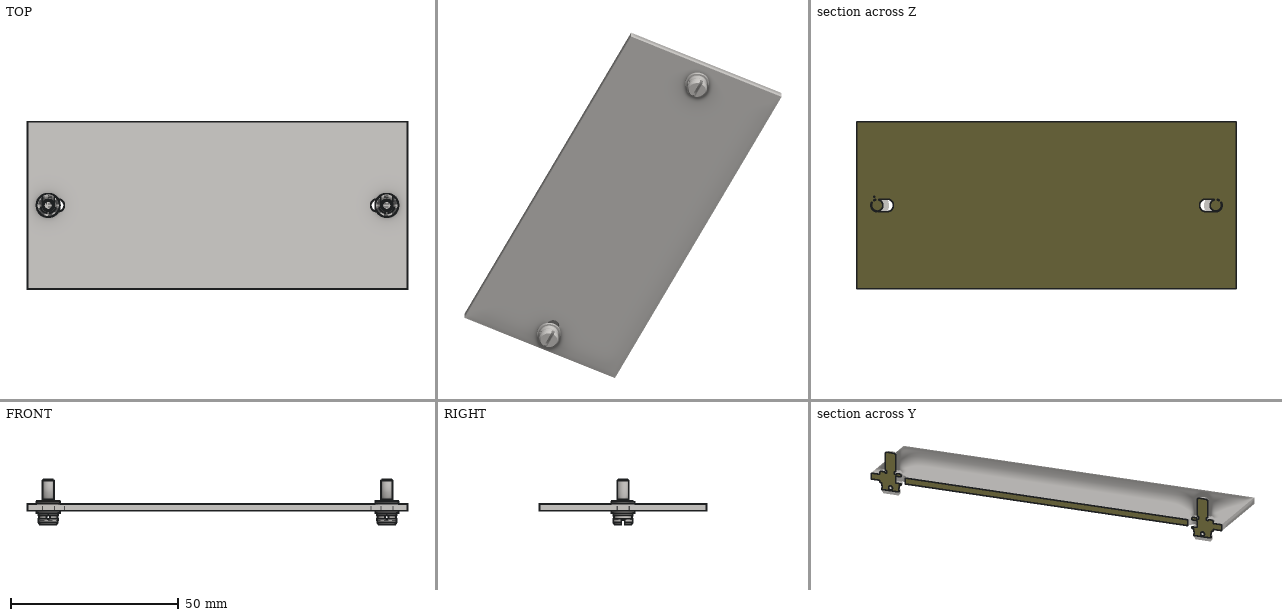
import cadquery as cq

plate_length = 113.7
plate_width = 50.0
plate_thickness = 2.0

screw_offset = 50.6
shank_diameter = 3.5
shank_radius = shank_diameter / 2
shank_top = 7.4
shank_chamfer = 0.5

hole_reach = 4.8
hole_radius = 1.8

washer_radius = 3.5
washer_thickness = 0.7

clip_radius = 3.4
clip_thickness = 0.3
clip_recess_radius = 2.4
clip_lug_width = 0.9
clip_recess_start = -0.7
clip_mouth_width = shank_diameter
neck_radius = 1.4
neck_length = 2 * clip_thickness

head_radius = 3.0
head_height = 3.4
collar_height = 0.7
waist_height = 1.0
waist_depth = 0.2
cross_hole_diameter = 1.1
head_end_radius = 2.5
head_taper_height = 0.7
driver_slot_width = 0.9
driver_slot_depth = 1.3

plate_bottom = -plate_thickness
head_top = plate_bottom - washer_thickness
head_bottom = head_top - head_height
waist_top = head_top - collar_height
waist_middle = waist_top - waist_height / 2
waist_bottom = waist_top - waist_height
clip_bottom = washer_thickness
shank_shoulder = clip_bottom + neck_length


def cylinder(radius, bottom, height):
    """Upright cylinder on the Z axis."""
    return cq.Workplane("XY", origin=(0, 0, bottom)).circle(radius).extrude(height)


def make_plate():
    """Flat plate with one slotted hole per screw."""
    plate = cq.Workplane("XY", origin=(0, 0, plate_bottom)).rect(plate_length, plate_width)
    plate = plate.extrude(plate_thickness)
    straight_length = hole_reach - hole_radius
    for side in (-1, 1):
        hole_centre = side * (screw_offset - straight_length / 2)
        hole = (
            cq.Workplane("XY", origin=(hole_centre, 0, plate_bottom))
            .slot2D(straight_length + 2 * hole_radius, 2 * hole_radius)
            .extrude(plate_thickness)
        )
        plate = plate.cut(hole)
    return plate


def make_screw():
    """Turned screw with a waisted head, a cross hole and a driver slot."""
    screw = (
        cq.Workplane("XZ")
        .moveTo(0, head_bottom)
        .lineTo(head_end_radius, head_bottom)
        .lineTo(head_radius, head_bottom + head_taper_height)
        .lineTo(head_radius, waist_bottom)
        .threePointArc((head_radius - waist_depth, waist_middle), (head_radius, waist_top))
        .lineTo(head_radius, head_top)
        .lineTo(shank_radius, head_top)
        .lineTo(shank_radius, clip_bottom)
        .lineTo(neck_radius, clip_bottom)
        .lineTo(neck_radius, shank_shoulder)
        .lineTo(shank_radius, shank_shoulder)
        .lineTo(shank_radius, shank_top - shank_chamfer)
        .lineTo(shank_radius - shank_chamfer, shank_top)
        .lineTo(0, shank_top)
        .close()
        .revolve(360, (0, 0), (0, 1))
    )
    cross_hole = (
        cq.Workplane("XZ", origin=(0, 0, waist_middle))
        .circle(cross_hole_diameter / 2)
        .extrude(head_radius, both=True)
    )
    driver_slot = cq.Workplane("XY", origin=(0, 0, head_bottom)).rect(2 * head_radius, driver_slot_width)
    return screw.cut(cross_hole).cut(driver_slot.extrude(driver_slot_depth))


def make_clip():
    """E-shaped clip, open towards +Y, with a lug on -Y and one on each side of the neck."""
    clip = cylinder(clip_radius, clip_bottom, clip_thickness)
    clip = clip.cut(cylinder(neck_radius, clip_bottom, clip_thickness))
    mouth = (
        cq.Workplane("XY", origin=(0, clip_radius / 2, clip_bottom))
        .rect(clip_mouth_width, clip_radius)
        .extrude(clip_thickness)
    )
    recess_depth = clip_recess_radius + clip_recess_start
    recess_band = (
        cq.Workplane("XY", origin=(0, clip_recess_start - recess_depth / 2, clip_bottom))
        .rect(2 * clip_recess_radius, recess_depth)
        .extrude(clip_thickness)
    )
    lug = (
        cq.Workplane("XY", origin=(0, -clip_recess_radius / 2, clip_bottom))
        .rect(clip_lug_width, clip_recess_radius)
        .extrude(clip_thickness)
    )
    recesses = cylinder(clip_recess_radius, clip_bottom, clip_thickness).intersect(recess_band).cut(lug)
    return clip.cut(mouth).cut(recesses)


def make_fastener():
    """Screw with its clip and both washers, on the Z axis."""
    upper_washer = cylinder(washer_radius, 0, washer_thickness)
    lower_washer = cylinder(washer_radius, head_top, washer_thickness)
    return make_screw().union(upper_washer).union(lower_washer).union(make_clip())


result = make_plate()
fastener = make_fastener()
for screw_x in (-screw_offset, screw_offset):
    result = result.union(fastener.translate((screw_x, 0, 0)))